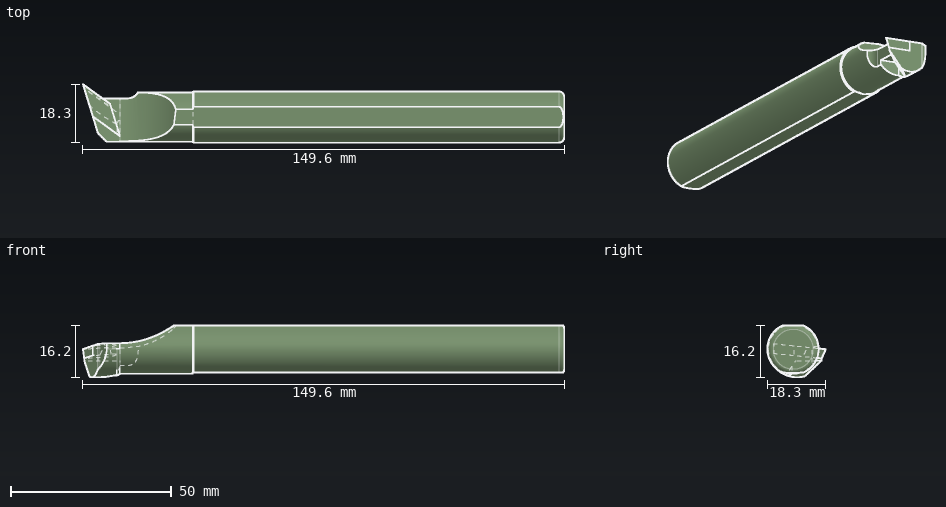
import cadquery as cq
import math

length = 149.6
shank_radius = 8.0
shank_start = 34.1
shank_end_fillet = 1.8
shoulder_chamfer = 0.3
flat_height = 7.3
neck_radius = shank_radius - shoulder_chamfer

head_end = 11.5
head_radius = 9.0
head_taper = 1.0
head_y = head_radius - neck_radius
head_z = 0.1

seat_tilt = 6.0
seat_height = 1.0
scoop_start = 11.5
scoop_radius = 26.5

tip_y = 10.25
insert_side = 10.5
insert_thickness = 3.0
front_angle = -73.0
trailing_angle = -36.0
trailing_relief = 1.0

nose_x = 4.6
nose_fillet = 1.5
clearance_y = 5.8
clearance_end = 13.9
clearance_radius = 3.7
bevel_top = -3.6
bevel_lean = 0.67

margin = 15.0


def plan_step(start, distance, angle):
    """Point reached from start by moving a distance at an angle in plan."""
    direction = math.radians(angle)
    return (start[0] + distance * math.cos(direction), start[1] + distance * math.sin(direction))


def tilt(shape):
    """Tip a shape from level to the slope of the seat, about the bar axis."""
    return shape.rotate((0, 0, 0), (1, 0, 0), -seat_tilt)


def slab(points):
    """Tall prism through the whole bar from a plan outline."""
    return cq.Workplane("XY").polyline(points).close().extrude(margin, both=True)


def make_shank():
    shank = cq.Workplane("YZ", origin=(shank_start, 0, 0)).circle(shank_radius).extrude(length - shank_start)
    shank = shank.faces("<X").chamfer(shoulder_chamfer)
    shank = shank.faces(">X").edges().fillet(shank_end_fillet)
    flats = cq.Workplane("XY").box(2 * length, 2 * margin, 2 * flat_height)
    return shank.intersect(flats)


def make_neck():
    neck = cq.Workplane("YZ", origin=(head_end, 0, 0)).circle(neck_radius).extrude(shank_start - head_end)
    above_flat = cq.Workplane("XY", origin=(0, 0, flat_height)).box(
        2 * length, 2 * margin, 2 * margin, centered=(True, True, False))
    return neck.cut(above_flat)


def make_head():
    """Offset disc whose upper half has straight sides rising to the seat."""
    straight = head_end - head_taper
    disc = cq.Workplane("YZ").center(head_y, head_z).circle(head_radius).extrude(straight)
    taper = (cq.Workplane("YZ", origin=(straight, 0, 0)).center(head_y, head_z).circle(head_radius)
             .workplane(offset=head_taper).center(-head_y, -head_z).circle(neck_radius).loft())
    upper = cq.Workplane("XY", origin=(0, head_y, head_z)).box(
        head_end, 2 * head_radius, head_radius, centered=(False, True, False))
    return disc.union(upper).union(taper)


def make_plan_limit():
    """Plan envelope of the bar: front face, nose bevel and open sides."""
    tip = (0, tip_y)
    nose = plan_step(tip, nose_x / math.cos(math.radians(front_angle)), front_angle)
    bevel_end = (nose[0] + margin, nose[1] - margin)
    front_top = plan_step(tip, -margin, front_angle)
    envelope = slab([front_top, nose, bevel_end, (length + margin, bevel_end[1]),
                     (length + margin, front_top[1])])
    nose_edge = cq.selectors.NearestToPointSelector((nose[0], nose[1], 0))
    return envelope.edges("|Z").edges(nose_edge).fillet(nose_fillet)


def trailing_wedge(start_y, start_z, lean):
    """Tool parallel to the trailing edge, cutting inward by lean per unit of depth."""
    direction = math.radians(trailing_angle)
    along = (math.cos(direction), math.sin(direction), 0)
    outward = (-along[1], along[0], 0)
    plane = cq.Plane(origin=(0, start_y, start_z), xDir=outward, normal=along)
    profile = [(0, 0), (-lean * margin, -margin), (margin, -margin), (margin, 0)]
    return cq.Workplane(plane).polyline(profile).close().extrude(margin, both=True)


def make_trailing_clearance():
    """Space on the +Y side behind the insert, with a rounded run-out into the neck."""
    start = (0, tip_y - trailing_relief)
    corner_x = (clearance_y - start[1]) / math.tan(math.radians(trailing_angle))
    before_start = plan_step(start, -margin, trailing_angle)
    arc_middle = (clearance_end + clearance_radius * math.sin(math.pi / 4),
                  clearance_y + clearance_radius * (1 - math.cos(math.pi / 4)))
    arc_end = (clearance_end + clearance_radius, clearance_y + clearance_radius)
    return (cq.Workplane("XY").moveTo(*before_start).lineTo(corner_x, clearance_y)
            .lineTo(clearance_end, clearance_y).threePointArc(arc_middle, arc_end)
            .lineTo(arc_end[0], before_start[1]).close().extrude(margin, both=True))


def make_scoop():
    """Tool that clears everything above the seat and rises in an arc to the flat."""
    half = math.pi / 4
    arc_middle = (scoop_start + scoop_radius * math.sin(half),
                  seat_height + scoop_radius * (1 - math.cos(half)))
    arc_end = (scoop_start + scoop_radius, seat_height + scoop_radius)
    profile = (cq.Workplane("XZ").moveTo(-margin, seat_height).lineTo(scoop_start, seat_height)
               .threePointArc(arc_middle, arc_end).lineTo(-margin, arc_end[1]).close())
    return tilt(profile.extrude(2 * margin, both=True))


def make_insert():
    """Rhombic plate flush with the seat, its trailing side relieved downward."""
    tip = (0, tip_y)
    front_end = plan_step(tip, insert_side, front_angle)
    heel = plan_step(front_end, insert_side, trailing_angle)
    trailing_end = plan_step(tip, insert_side, trailing_angle)
    layer = cq.Workplane("XY", origin=(0, 0, seat_height - insert_thickness)).rect(
        4 * margin, 4 * margin).extrude(insert_thickness)
    plate = slab([tip, front_end, heel, trailing_end]).intersect(tilt(layer))

    tip_z = seat_height - tip_y * math.tan(math.radians(seat_tilt))
    lean = trailing_relief * math.cos(math.radians(trailing_angle)) / insert_thickness
    return plate.cut(trailing_wedge(tip_y, tip_z, lean))


insert = make_insert()
head = make_head().cut(trailing_wedge(tip_y - trailing_relief, bevel_top, bevel_lean))
bar = make_neck().union(head)
bar = bar.cut(make_trailing_clearance()).union(make_shank())
bar = bar.intersect(make_plan_limit()).cut(make_scoop()).cut(insert)

result = cq.Compound.makeCompound([bar.val(), insert.val()])